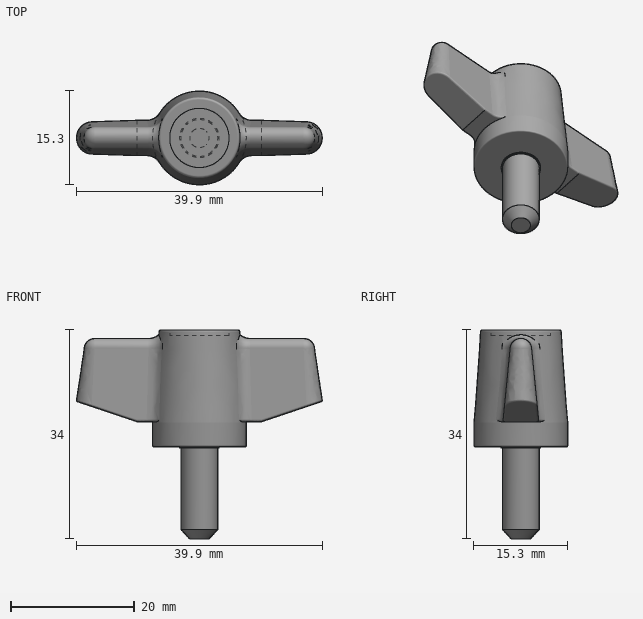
import cadquery as cq
import math

stud_radius = 3.0
stud_tip_radius = 1.55
stud_chamfer_height = 1.55
neck_radius = 3.2
neck_height = 0.2

total_height = 34.0
collar_bottom = 14.97
collar_top = 18.93
collar_radius = 7.63
collar_edge_round = 0.25
hub_top_radius = 6.55
hub_rim_round = 0.4
recess_radius = 9.62 / 2
recess_depth = 0.95

wing_bottom = 19.05
crest_axis_height = 30.83
crest_radius = 1.75
wing_base_half_width = 2.9
tip_centre_top = 16.97
tip_centre_base = 17.55
wing_flat_end = 10.1
wing_span = 39.93
tip_underside_height = 22.35
wing_edge_round = 0.28
root_fillet = 2.48


def hub_radius_at(z):
    """Radius of the tapered hub body at height z."""
    fraction = (z - collar_top) / (total_height - collar_top)
    return collar_radius + fraction * (hub_top_radius - collar_radius)


def root_fillet_points(z, half_width):
    """Contact with the hub, arc midpoint and tangent point on the wing side."""
    hub_radius = hub_radius_at(z)
    centre_distance = hub_radius + root_fillet
    centre_y = half_width + root_fillet
    centre_x = math.sqrt(centre_distance**2 - centre_y**2)
    contact_scale = hub_radius / centre_distance
    contact = (centre_x * contact_scale, centre_y * contact_scale)
    middle_angle = (math.atan2(centre_y, centre_x) + math.pi / 2) / 2
    middle = (
        centre_x - root_fillet * math.cos(middle_angle),
        centre_y - root_fillet * math.sin(middle_angle),
    )
    return contact, middle, (centre_x, half_width)


def mirrored(point):
    return (point[0], -point[1])


def wing_section(z, half_width, tip_centre):
    """Horizontal wing outline with concave roots and a round tip."""
    contact, middle, tangent = root_fillet_points(z, half_width)
    return (
        cq.Workplane("XY", origin=(0, 0, z))
        .moveTo(*contact)
        .threePointArc(middle, tangent)
        .lineTo(tip_centre, half_width)
        .threePointArc((tip_centre + half_width, 0), (tip_centre, -half_width))
        .lineTo(*mirrored(tangent))
        .threePointArc(mirrored(middle), mirrored(contact))
        .close()
        .wire()
        .val()
    )


def make_wing_blade():
    """Drafted blade whose underside rises towards the tip."""
    base = wing_section(wing_bottom, wing_base_half_width, tip_centre_base)
    top = wing_section(crest_axis_height, crest_radius, tip_centre_top)
    blade = cq.Workplane(cq.Solid.makeLoft([base, top], True))
    tip_x = wing_span / 2
    slope = (tip_underside_height - wing_bottom) / (tip_x - wing_flat_end)
    cutter_end = tip_x + collar_radius
    cutter_end_height = wing_bottom + slope * (cutter_end - wing_flat_end)
    cutter = (
        cq.Workplane("XZ")
        .moveTo(wing_flat_end, wing_bottom)
        .lineTo(cutter_end, cutter_end_height)
        .lineTo(cutter_end, wing_bottom)
        .close()
        .extrude(collar_radius, both=True)
    )
    blade = blade.cut(cutter)
    underside = cq.Vector(slope, 0, -1).normalized()
    underside_faces = blade.faces("<Z").add(blade.faces(cq.selectors.ParallelDirSelector(underside)))
    return underside_faces.edges("not |Y").fillet(wing_edge_round)


def make_wing_crest():
    """Round crest, flared at the hub and closed by a spherical tip."""
    contact, middle, tangent = root_fillet_points(crest_axis_height, crest_radius)
    tip_offset = crest_radius * math.sqrt(0.5)
    return (
        cq.Workplane("XY", origin=(0, 0, crest_axis_height))
        .moveTo(contact[0], 0)
        .lineTo(*contact)
        .threePointArc(middle, tangent)
        .lineTo(tip_centre_top, crest_radius)
        .threePointArc((tip_centre_top + tip_offset, tip_offset), (tip_centre_top + crest_radius, 0))
        .close()
        .revolve(180, (0, 0, 0), (1, 0, 0))
    )


def make_hub():
    collar = cq.Workplane("XY", origin=(0, 0, collar_bottom)).circle(collar_radius)
    collar = collar.extrude(collar_top - collar_bottom).faces("<Z").edges().fillet(collar_edge_round)
    body = (
        cq.Workplane("XY", origin=(0, 0, collar_top))
        .circle(collar_radius)
        .workplane(offset=total_height - collar_top)
        .circle(hub_top_radius)
        .loft()
        .faces(">Z")
        .edges()
        .fillet(hub_rim_round)
    )
    return collar.union(body)


def make_stud():
    neck_bottom = collar_bottom - neck_height
    return (
        cq.Workplane("XZ")
        .moveTo(0, 0)
        .lineTo(stud_tip_radius, 0)
        .lineTo(stud_radius, stud_chamfer_height)
        .lineTo(stud_radius, neck_bottom)
        .lineTo(neck_radius, neck_bottom)
        .lineTo(neck_radius, collar_top)
        .lineTo(0, collar_top)
        .close()
        .revolve(360, (0, 0, 0), (0, 1, 0))
    )


recess = (
    cq.Workplane("XY", origin=(0, 0, total_height - recess_depth))
    .circle(recess_radius)
    .extrude(recess_depth)
)
wing = make_wing_blade().union(make_wing_crest())
result = make_hub().union(make_stud())
for wing_angle in (0, 180):
    result = result.union(wing.rotate((0, 0, 0), (0, 0, 1), wing_angle))
result = result.cut(recess)